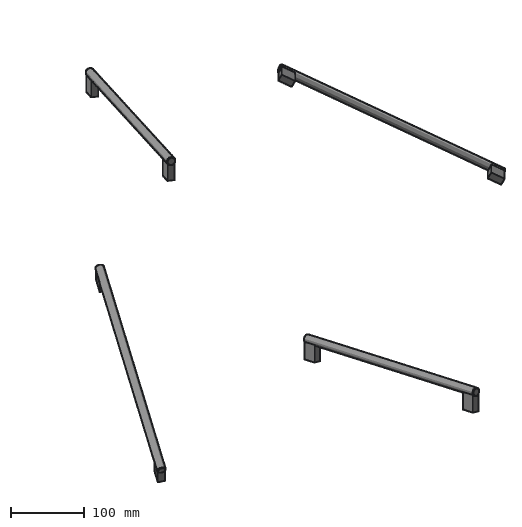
import cadquery as cq

length = 342.0
height = 34.5
bar_diameter = 12.3

end_chamfer = 1.0
post_width = 20.5
post_depth = 10.3

bar_radius = bar_diameter / 2
bar_axis_z = height - bar_radius
post_offset = length / 2 - end_chamfer - post_width / 2


def make_bar():
    """Round grip bar along X, chamfered at both ends."""
    return (
        cq.Workplane("YZ", origin=(-length / 2, 0, bar_axis_z))
        .circle(bar_radius)
        .extrude(length)
        .faces("<X or >X")
        .chamfer(end_chamfer)
    )


def make_post(center_x, bar):
    """Rectangular post whose top is hollowed to seat the bar."""
    block = (
        cq.Workplane("XY")
        .center(center_x, 0)
        .rect(post_width, post_depth)
        .extrude(bar_axis_z)
    )
    return block.cut(bar)


bar = make_bar()
posts = [make_post(side * post_offset, bar) for side in (-1, 1)]

result = cq.Compound.makeCompound([bar.val(), *[post.val() for post in posts]])